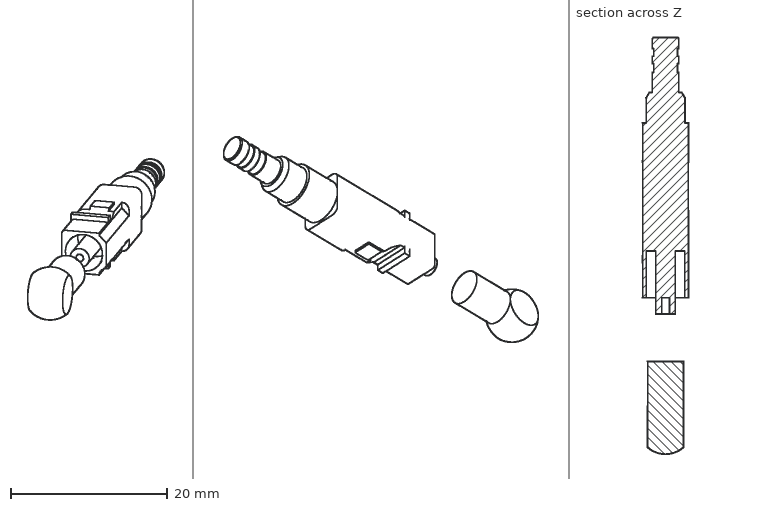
import cadquery as cq

TOTAL_LENGTH = 53.35

TIP_CHAMFER = 0.15
GROOVES = [(1.45, 2.4), (3.35, 4.5)]
NECK_END = 7.05
COLLAR_CONE_END = 7.75
COLLAR_END = 10.95
BOX_START = 15.95
BOX_END = 33.35
NOSE_END = 35.4

NECK_RADIUS = 1.7
GROOVE_DEPTH = 0.15
CONE_RADIUS = 2.1
COLLAR_RADIUS = 2.5

BOX_WIDTH = 5.9
HALF_WIDTH = BOX_WIDTH / 2
REAR_HALF_HEIGHT = 3.3
REAR_ROUNDING = 0.95
FRONT_HALF_HEIGHT = 2.85
FRONT_ROUNDING = 0.5
TROUGH_HALF_HEIGHT = 2.55

STRIP_START = 22.2
STRIP_WIDTH = REAR_ROUNDING
STRIP_X = HALF_WIDTH - STRIP_WIDTH

PAD_START = 23.2
PAD_HALF_HEIGHT = 3.6
PAD_WIDTH = 2.5
RAMP_START = 25.5
RAMP_END = 27.25
RIB_START = 27.95
RIB_END = 28.85
RIB_HALF_HEIGHT = 3.45

SOCKET_RADIUS = 2.45
NOSE_RADIUS = 1.255
NOSE_BORE_RADIUS = 0.5
NOSE_BORE_DEPTH = NOSE_END - BOX_END

CAP_START = 41.45
BALL_RADIUS = 3.4
BALL_CENTRE = TOTAL_LENGTH - BALL_RADIUS
CAP_RADIUS = 2.32
FLAT_RADIUS = (BALL_RADIUS**2 - CAP_RADIUS**2) ** 0.5
CAP_SHANK_END = BALL_CENTRE - FLAT_RADIUS
SOCKET_DEPTH = CAP_SHANK_END - CAP_START


def cylinder(radius, start, end):
    """Cylinder on the Y axis between two stations."""
    plane = cq.Workplane("XZ", origin=(0, -start, 0))
    return plane.circle(radius).extrude(end - start)


def block(x_min, x_max, half_height, start, end):
    """Box between two stations, symmetric about the XY plane."""
    plane = cq.Workplane("XZ", origin=((x_min + x_max) / 2, -start, 0))
    return plane.rect(x_max - x_min, 2 * half_height).extrude(end - start)


def make_stem():
    """Round rear part with its ring grooves, turned about the Y axis."""
    outline = [
        (0, 0),
        (NECK_RADIUS - TIP_CHAMFER, 0),
        (NECK_RADIUS, -TIP_CHAMFER),
        (NECK_RADIUS, -NECK_END),
        (CONE_RADIUS, -NECK_END),
        (COLLAR_RADIUS, -COLLAR_CONE_END),
        (COLLAR_RADIUS, -COLLAR_END),
        (HALF_WIDTH, -COLLAR_END),
        (HALF_WIDTH, -BOX_START),
        (0, -BOX_START),
    ]
    stem = cq.Workplane("XY").polyline(outline).close().revolve(360, (0, 0), (0, 1))
    for start, end in GROOVES:
        core = cylinder(NECK_RADIUS - GROOVE_DEPTH, start, end)
        stem = stem.cut(cylinder(2 * NECK_RADIUS, start, end).cut(core))
    return stem


def make_rear_box():
    """Rounded housing with latch pads, tapering to the trough at the rib."""
    box = block(-HALF_WIDTH, HALF_WIDTH, REAR_HALF_HEIGHT, BOX_START, RIB_START)
    box = box.edges("|Y").fillet(REAR_ROUNDING)
    box = box.union(block(-PAD_WIDTH / 2, PAD_WIDTH / 2, PAD_HALF_HEIGHT, PAD_START, RIB_START))
    side_outline = [
        (-BOX_START, PAD_HALF_HEIGHT),
        (-RAMP_START, PAD_HALF_HEIGHT),
        (-RAMP_END, TROUGH_HALF_HEIGHT),
        (-RIB_START, TROUGH_HALF_HEIGHT),
        (-RIB_START, -TROUGH_HALF_HEIGHT),
        (-RAMP_END, -TROUGH_HALF_HEIGHT),
        (-RAMP_START, -PAD_HALF_HEIGHT),
        (-BOX_START, -PAD_HALF_HEIGHT),
    ]
    envelope = cq.Workplane("YZ").polyline(side_outline).close().extrude(HALF_WIDTH, both=True)
    box = box.intersect(envelope)
    return box.cut(block(STRIP_X, HALF_WIDTH, PAD_HALF_HEIGHT, STRIP_START, RIB_START))


def make_front_box():
    """Lower front housing, rounded along its -X edges."""
    box = block(-HALF_WIDTH, STRIP_X, FRONT_HALF_HEIGHT, RIB_START, BOX_END)
    return box.edges("|Y and <X").fillet(FRONT_ROUNDING)


def make_strip():
    """Long +X strip whose upper and lower edges are fully chamfered, level with the trough."""
    outer_half_height = TROUGH_HALF_HEIGHT - STRIP_WIDTH
    section = [
        (STRIP_X, TROUGH_HALF_HEIGHT),
        (HALF_WIDTH, outer_half_height),
        (HALF_WIDTH, -outer_half_height),
        (STRIP_X, -TROUGH_HALF_HEIGHT),
    ]
    plane = cq.Workplane("XZ", origin=(0, -STRIP_START, 0))
    return plane.polyline(section).close().extrude(BOX_END - STRIP_START)


def make_connector():
    rib = block(-HALF_WIDTH, STRIP_X, RIB_HALF_HEIGHT, RIB_START, RIB_END)
    connector = make_stem().union(make_rear_box()).union(make_front_box())
    connector = connector.union(make_strip()).union(rib)

    socket_floor = BOX_END - SOCKET_DEPTH
    connector = connector.cut(cylinder(SOCKET_RADIUS, socket_floor, BOX_END))
    connector = connector.union(cylinder(NOSE_RADIUS, socket_floor, NOSE_END))
    return connector.cut(cylinder(NOSE_BORE_RADIUS, NOSE_END - NOSE_BORE_DEPTH, NOSE_END))


def make_cap():
    """Round shank ending in a ball with flat sides at the shank width."""
    plane = cq.Workplane("XY", origin=(0, -BALL_CENTRE, 0))
    half_section = (
        plane.moveTo(-CAP_RADIUS, 0)
        .lineTo(-CAP_RADIUS, -FLAT_RADIUS)
        .threePointArc((0, -BALL_RADIUS), (CAP_RADIUS, -FLAT_RADIUS))
        .lineTo(CAP_RADIUS, 0)
        .close()
    )
    ball = half_section.revolve(360, (0, 0), (1, 0))
    return ball.union(cylinder(CAP_RADIUS, CAP_START, BALL_CENTRE))


connector = make_connector()
cap = make_cap()

result = cq.Compound.makeCompound([connector.val(), cap.val()])